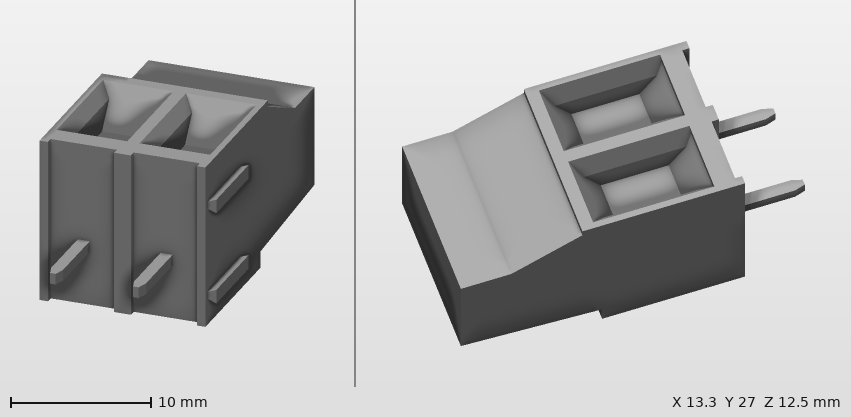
import cadquery as cq


pole_count = 2
pitch = 6.35
housing_width = pole_count * pitch
housing_height = 12.5
back_y = 27
front_y = 5.54
top_end_y = 17.82
top_step_z = 12.0
shoulder_y = 23.2
shoulder_z = 9.6
back_bottom_z = 1.95
foot_end_y = 16.34
foot_step_z = 1.27

strip_half_width = 0.65
recess_depth = 0.55

pocket_width = 5.4
pocket_front_y = 7.7
pocket_back_y = 16.85
pocket_depth = 3.0
front_wall_straight_depth = 0.49
front_wall_run = 1.85
back_wall_run = 2.15
left_wall_inset = 0.75
right_wall_inset = 0.86
left_flare_depth = 1.05
right_flare_depth = 1.22

pin_width = 0.92
pin_thickness = 0.85
pin_center_z = 4.55
pin_tip_width = 0.43
pin_taper_length = 0.8

rib_height = 0.62
rib_base_width = 0.6
rib_tip_width = 1.05
rib_length = 6.37
rib_centers_z = (2.25, 9.32)


def make_housing():
    """Extrude the stepped side profile across the full width."""
    profile = [
        (front_y, 0),
        (foot_end_y, 0),
        (foot_end_y, foot_step_z),
        (back_y, back_bottom_z),
        (back_y, shoulder_z),
        (shoulder_y, shoulder_z),
        (top_end_y, top_step_z),
        (top_end_y, housing_height),
        (front_y, housing_height),
    ]
    return cq.Workplane("YZ").polyline(profile).close().extrude(housing_width)


def make_front_recess(center_x):
    """Full-height box to remove from the front face of one pole."""
    width = pitch - 2 * strip_half_width
    return (
        cq.Workplane("XY")
        .box(width, recess_depth, housing_height, centered=(True, False, False))
        .translate((center_x, front_y, 0))
    )


def make_pocket(center_x):
    """Intersect the lengthwise and crosswise pocket sections."""
    floor_z = housing_height - pocket_depth
    left_x = center_x - pocket_width / 2
    right_x = center_x + pocket_width / 2
    lengthwise_section = [
        (pocket_front_y, housing_height),
        (pocket_front_y, housing_height - front_wall_straight_depth),
        (pocket_front_y + front_wall_run, floor_z),
        (pocket_back_y - back_wall_run, floor_z),
        (pocket_back_y, housing_height),
    ]
    crosswise_section = [
        (left_x, housing_height),
        (left_x + left_wall_inset, housing_height - left_flare_depth),
        (left_x + left_wall_inset, floor_z),
        (right_x - right_wall_inset, floor_z),
        (right_x - right_wall_inset, housing_height - right_flare_depth),
        (right_x, housing_height),
    ]
    lengthwise = cq.Workplane("YZ").polyline(lengthwise_section).close().extrude(housing_width)
    crosswise = cq.Workplane("XZ").polyline(crosswise_section).close().extrude(-back_y)
    return lengthwise.intersect(crosswise)


def make_pin(center_x):
    """Flat pin running from the recessed front face to a tapered tip at Y = 0."""
    root_y = front_y + recess_depth
    outline = [
        (center_x - pin_width / 2, root_y),
        (center_x - pin_width / 2, pin_taper_length),
        (center_x - pin_tip_width / 2, 0),
        (center_x + pin_tip_width / 2, 0),
        (center_x + pin_width / 2, pin_taper_length),
        (center_x + pin_width / 2, root_y),
    ]
    bottom_z = pin_center_z - pin_thickness / 2
    return cq.Workplane("XY", origin=(0, 0, bottom_z)).polyline(outline).close().extrude(pin_thickness)


def make_rib(center_z):
    """Dovetail rib that widens away from the housing side."""
    tip_x = housing_width + rib_height
    section = [
        (housing_width, center_z - rib_base_width / 2),
        (tip_x, center_z - rib_tip_width / 2),
        (tip_x, center_z + rib_tip_width / 2),
        (housing_width, center_z + rib_base_width / 2),
    ]
    start_y = front_y + recess_depth
    return cq.Workplane("XZ", origin=(0, start_y, 0)).polyline(section).close().extrude(-rib_length)


result = make_housing()
for pole in range(pole_count):
    pole_x = (pole + 0.5) * pitch
    result = result.cut(make_front_recess(pole_x))
    result = result.cut(make_pocket(pole_x))
    result = result.union(make_pin(pole_x))
for rib_z in rib_centers_z:
    result = result.union(make_rib(rib_z))